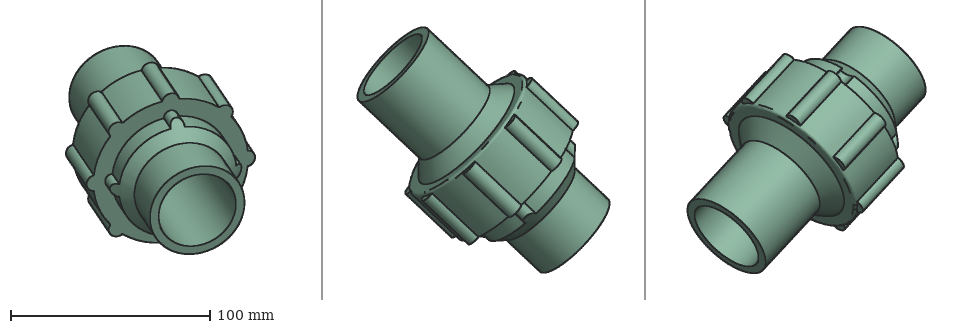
import cadquery as cq

total_length = 130.0
bore_radius = 40.8 / 2
pipe_radius = 50.0 / 2

left_cone_start = 44.0
nut_face = 52.7
left_cone_end_radius = pipe_radius + nut_face - left_cone_start

nut_radius = 40.9
nut_edge_round = 1.5
nut_end = 87.5
grip_count = 8
grip_radius = 4.6
grip_center_radius = 39.9
grip_start = nut_face + nut_edge_round

right_cone_end = 105.0
collar_radius = 31.1
collar_end = right_cone_end - (collar_radius - pipe_radius)
collar_rib_count = 4
collar_rib_radius = 3.7
collar_rib_center_radius = 31.05


def make_body():
    """Turned outline of both pipes, both cones, the nut and the collar."""
    return (
        cq.Workplane("XY")
        .lineTo(0, pipe_radius)
        .lineTo(left_cone_start, pipe_radius)
        .lineTo(nut_face, left_cone_end_radius)
        .lineTo(nut_face, nut_radius - nut_edge_round)
        .radiusArc((nut_face + nut_edge_round, nut_radius), nut_edge_round)
        .lineTo(nut_end, nut_radius)
        .lineTo(nut_end, collar_radius)
        .lineTo(collar_end, collar_radius)
        .lineTo(right_cone_end, pipe_radius)
        .lineTo(total_length, pipe_radius)
        .lineTo(total_length, 0)
        .close()
        .revolve(360, (0, 0, 0), (1, 0, 0))
    )


def make_round_ribs(count, center_radius, radius, start, end):
    """Round bars parallel to the pipe axis, evenly spaced around it."""
    return (
        cq.Workplane("YZ", origin=(start, 0, 0))
        .polarArray(center_radius, 0, 360, count)
        .circle(radius)
        .extrude(end - start)
    )


def make_collar_ribs():
    """Collar ribs whose ends are trimmed by the extended right cone."""
    ribs = make_round_ribs(
        collar_rib_count, collar_rib_center_radius, collar_rib_radius, nut_end, right_cone_end
    )
    cone_base_radius = pipe_radius + right_cone_end - nut_end
    cone = (
        cq.Workplane("XY")
        .moveTo(nut_end, 0)
        .lineTo(nut_end, cone_base_radius)
        .lineTo(right_cone_end, pipe_radius)
        .lineTo(right_cone_end, 0)
        .close()
        .revolve(360, (0, 0, 0), (1, 0, 0))
    )
    return ribs.intersect(cone)


grips = make_round_ribs(grip_count, grip_center_radius, grip_radius, grip_start, nut_end)
bore = cq.Workplane("YZ").circle(bore_radius).extrude(total_length)

result = make_body().union(grips).union(make_collar_ribs()).cut(bore)